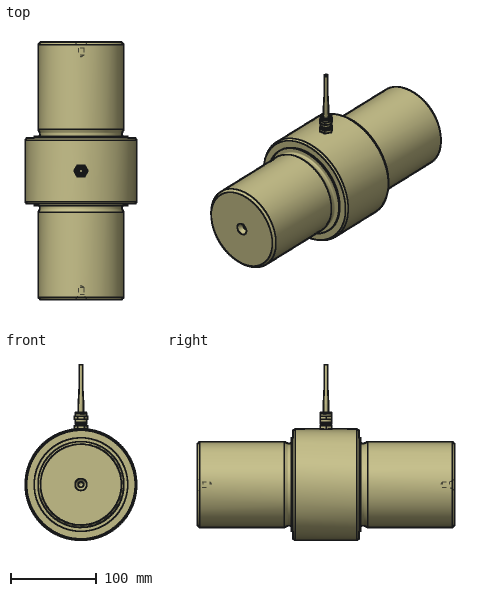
import cadquery as cq
import math

LENGTH = 300.0
SHAFT_R = LENGTH / 6
END_CHAMFER = 3.0

RING_R = 130.0 / 2
RING_HALF_WIDTH = 38.5
RING_CHAMFER_AXIAL = 2.7
RING_CHAMFER_RADIAL = 1.8
SHOULDER_R = 109.0 / 2
SHOULDER_HALF_WIDTH = 40.2

GROOVE_R = 96.0 / 2
GROOVE_FLOOR_END = 44.5
GROOVE_OUTER_END = 48.3
GROOVE_FILLET = 1.8

CENTRE_HOLE_R = 6.3 / 2
CENTRE_SINK_R = 13.8 / 2
CENTRE_SINK_DEPTH = (CENTRE_SINK_R - CENTRE_HOLE_R) / math.tan(math.radians(30))
CENTRE_HOLE_DEPTH = 15.0
DRILL_TIP_DEPTH = CENTRE_HOLE_R / math.tan(math.radians(59))

HEX_FLATS = 13.8
GLAND_R = HEX_FLATS / 2
GLAND_SEAT_Z = 64.5
LOWER_HEX_TOP_Z = 68.5
NECK_R = 6.3
NECK_BOTTOM_Z = 69.5
NECK_TOP_Z = 70.8
BARREL_BOTTOM_Z = 72.3
UPPER_HEX_BOTTOM_Z = 76.0
UPPER_HEX_TOP_Z = 79.5
GLAND_TOP_Z = 84.0
GLAND_TOP_R = 6.3
GLAND_TOP_TAPER = 1.8
MOUTH_R = 5.0
MOUTH_DEPTH = 2.0

CABLE_R = 4.5 / 2
SLEEVE_R = 6.3 / 2
TAPER_BOTTOM_Z = 94.0
TAPER_TOP_Z = 111.0
CABLE_TOP_Z = 204.5 - RING_R


def hexagon(bottom_z, top_z):
    """Upright hexagonal prism with two flats facing -Y and +Y."""
    corner_diameter = HEX_FLATS / math.cos(math.radians(30))
    base = cq.Workplane("XY").workplane(offset=bottom_z).polygon(6, corner_diameter)
    return base.extrude(top_z - bottom_z)


def revolve_about_y(profile):
    """Solid of revolution from (radius, y) points whose first and last lie on the Y axis."""
    return cq.Workplane("XY").polyline(profile).close().revolve(360, (0, 0), (0, 1))


def revolve_about_z(profile):
    """Solid of revolution from (radius, z) points whose first and last lie on the Z axis."""
    return cq.Workplane("XZ").polyline(profile).close().revolve(360, (0, 0), (0, 1))


def shaft_blank():
    """Shaft with its ring, shoulders and relief grooves."""
    end = LENGTH / 2
    half_profile = [
        (RING_R, RING_HALF_WIDTH - RING_CHAMFER_AXIAL),
        (RING_R - RING_CHAMFER_RADIAL, RING_HALF_WIDTH),
        (SHOULDER_R, RING_HALF_WIDTH),
        (SHOULDER_R, SHOULDER_HALF_WIDTH),
        (GROOVE_R, SHOULDER_HALF_WIDTH),
        (GROOVE_R, GROOVE_FLOOR_END),
        (SHAFT_R, GROOVE_OUTER_END),
        (SHAFT_R, end - END_CHAMFER),
        (SHAFT_R - END_CHAMFER, end),
        (0, end),
    ]
    mirrored_profile = [(radius, -y) for radius, y in reversed(half_profile)]
    blank = revolve_about_y(mirrored_profile + half_profile)
    groove_edges = blank.edges(cq.selectors.RadiusNthSelector(1))
    return groove_edges.fillet(GROOVE_FILLET)


def centre_hole():
    """Countersunk centre hole in the +Y end, with a conical drill tip."""
    end = LENGTH / 2
    return revolve_about_y([
        (0, end),
        (CENTRE_SINK_R, end),
        (CENTRE_HOLE_R, end - CENTRE_SINK_DEPTH),
        (CENTRE_HOLE_R, end - CENTRE_HOLE_DEPTH),
        (0, end - CENTRE_HOLE_DEPTH - DRILL_TIP_DEPTH),
    ])


def make_shaft():
    """Shaft with both centre holes and a shallow hexagonal seat for the gland."""
    hole = centre_hole()
    gland_seat = hexagon(GLAND_SEAT_Z, LOWER_HEX_TOP_Z)
    return shaft_blank().cut(hole).cut(hole.mirror("XZ")).cut(gland_seat)


def make_gland():
    """Round barrel with a waisted neck and a conical mouth, carrying two hexagons."""
    barrel = revolve_about_z([
        (0, LOWER_HEX_TOP_Z),
        (GLAND_R, LOWER_HEX_TOP_Z),
        (NECK_R, NECK_BOTTOM_Z),
        (NECK_R, NECK_TOP_Z),
        (GLAND_R, BARREL_BOTTOM_Z),
        (GLAND_R, GLAND_TOP_Z - GLAND_TOP_TAPER),
        (GLAND_TOP_R, GLAND_TOP_Z),
        (MOUTH_R, GLAND_TOP_Z),
        (SLEEVE_R, GLAND_TOP_Z - MOUTH_DEPTH),
        (0, GLAND_TOP_Z - MOUTH_DEPTH),
    ])
    lower_hex = hexagon(GLAND_SEAT_Z, LOWER_HEX_TOP_Z)
    upper_hex = hexagon(UPPER_HEX_BOTTOM_Z, UPPER_HEX_TOP_Z)
    return barrel.union(lower_hex).union(upper_hex)


def make_cable():
    """Sleeve, taper and cable, standing on the floor of the gland mouth."""
    return revolve_about_z([
        (0, GLAND_TOP_Z - MOUTH_DEPTH),
        (SLEEVE_R, GLAND_TOP_Z - MOUTH_DEPTH),
        (SLEEVE_R, TAPER_BOTTOM_Z),
        (CABLE_R, TAPER_TOP_Z),
        (CABLE_R, CABLE_TOP_Z),
        (0, CABLE_TOP_Z),
    ])


shaft = make_shaft()
gland = make_gland()
cable = make_cable()

result = cq.Compound.makeCompound([shaft.val(), gland.val(), cable.val()])